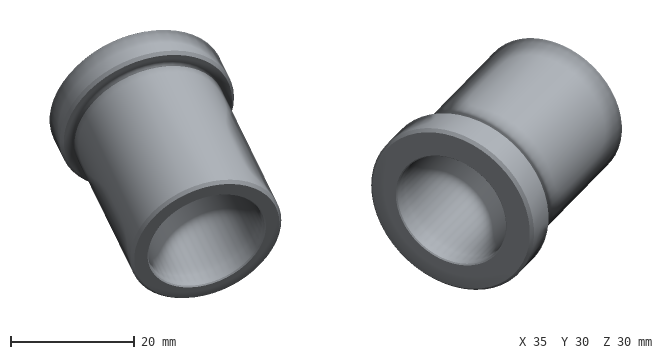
import cadquery as cq

TOTAL_LENGTH = 35.0
HEAD_LENGTH = 6.0
HEAD_DIAMETER = 30.0
BODY_DIAMETER = 26.0
BORE_DIAMETER = 20.0
EDGE_CHAMFER = 0.5
BORE_CHAMFER = 0.2
RELIEF_RADIUS = 0.5

HEAD_RADIUS = HEAD_DIAMETER / 2
BODY_RADIUS = BODY_DIAMETER / 2
BORE_RADIUS = BORE_DIAMETER / 2


def make_bushing():
    """Revolve the half section, given as (axial, radial) points, about the X axis."""
    section = (
        cq.Workplane("XY")
        .moveTo(0, BORE_RADIUS + BORE_CHAMFER)
        .lineTo(0, HEAD_RADIUS - EDGE_CHAMFER)
        .lineTo(EDGE_CHAMFER, HEAD_RADIUS)
        .lineTo(HEAD_LENGTH - EDGE_CHAMFER, HEAD_RADIUS)
        .lineTo(HEAD_LENGTH, HEAD_RADIUS - EDGE_CHAMFER)
        .lineTo(HEAD_LENGTH, BODY_RADIUS)
        .threePointArc(
            (HEAD_LENGTH + RELIEF_RADIUS, BODY_RADIUS - RELIEF_RADIUS),
            (HEAD_LENGTH + 2 * RELIEF_RADIUS, BODY_RADIUS),
        )
        .lineTo(TOTAL_LENGTH - EDGE_CHAMFER, BODY_RADIUS)
        .lineTo(TOTAL_LENGTH, BODY_RADIUS - EDGE_CHAMFER)
        .lineTo(TOTAL_LENGTH, BORE_RADIUS + BORE_CHAMFER)
        .lineTo(TOTAL_LENGTH - BORE_CHAMFER, BORE_RADIUS)
        .lineTo(BORE_CHAMFER, BORE_RADIUS)
        .close()
    )
    return section.revolve(360, (0, 0, 0), (1, 0, 0))


result = make_bushing()